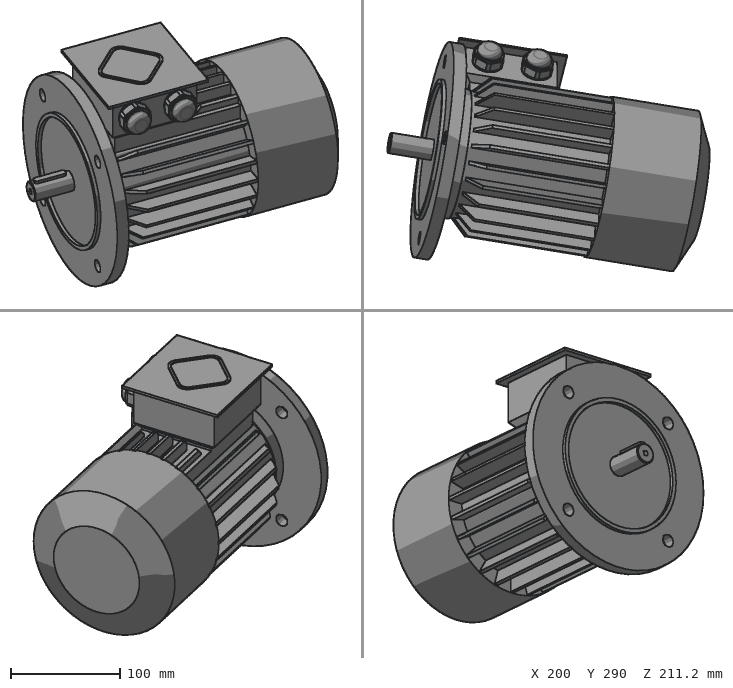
import cadquery as cq
import math


FLANGE_DIA = 200.0
FLANGE_THICKNESS = 12.0
REGISTER_DIA = 130.0
REGISTER_RECESS_DIA = 122.0
REGISTER_HEIGHT = 3.5
BOLT_HOLE_DIA = 12.0
BOLT_CIRCLE_DIA = 165.0

SHAFT_DIA = 19.0
SHAFT_LENGTH = 40.0
SHAFT_CHAMFER = 1.0
CENTRE_HOLE_DIA = 5.0
CENTRE_HOLE_DEPTH = 7.2
KEY_WIDTH = 6.0
KEY_LENGTH = 32.5
KEY_TOP_Z = 12.0
KEY_END_GAP = 3.2

COLLAR_DIA = 120.0
COLLAR_END_Y = 25.0
HOUSING_DIA = 118.0
COWL_DIA = 149.0
COWL_END_DIA = 90.5
COWL_START_Y = 155.2
COWL_CONE_Y = 236.0
OVERALL_LENGTH = 290.0
COWL_END_Y = OVERALL_LENGTH - SHAFT_LENGTH

RIB_TIP_RADIUS = 73.7
RIB_THICKNESS = 3.2
RIB_FRONT_Y = 28.5
RIB_BEVEL_LENGTH = 15.0
RIB_ROOT_DEPTH = 3.0
RIB_PITCH_DEG = 15
RIBS_PER_SIDE = 9
TOP_RIB_FRONT_Y = 113.0
TOP_RIB_CHAMFER = 4.5
TOP_RIBS_PER_SIDE = 2
TOP_RIB_PITCH = 15.0

BOX_CENTRE_Y = 65.5
BOX_SIDE = 85.0
BOX_BOTTOM_Z = 68.2
NECK_SIDE = 75.5
NECK_TOP_Z = 62.5
SADDLE_WIDTH = 73.7
SADDLE_TOP_Z = 60.0
LID_SIDE = 100.5
LID_BOTTOM_Z = 107.3
LID_TOP_Z = 110.0
BADGE_CENTRE_Y = 61.5
BADGE_SIDE = 50.5
BADGE_CORNER_RADIUS = 10.2
BADGE_RIM = 2.5
BADGE_HEIGHT = 1.2

GLAND_SPACING = 45.8
GLAND_Z = 88.2
GLAND_NECK_LENGTH = 1.7
GLAND_HEX_FLATS = 27.3
GLAND_HEX_CORNER_DIA = 29.5
GLAND_HEX_LENGTH = 8.7
GLAND_COLLAR_LENGTH = 2.0
GLAND_CAP_DIA = 23.2
GLAND_CAP_LENGTH = 7.0
GLAND_CAP_ROUND = 5.2

HOUSING_RADIUS = HOUSING_DIA / 2


def y_cylinder(diameter, y_start, y_end):
    """Cylinder around the shaft axis between two Y positions."""
    return cq.Workplane("XZ", origin=(0, y_start, 0)).circle(diameter / 2).extrude(y_start - y_end)


def box_between(x_size, y_start, y_end, z_bottom, z_top):
    """Block centred on X = 0 between the given Y and Z limits."""
    block = cq.Workplane("XY").box(x_size, y_end - y_start, z_top - z_bottom, centered=(True, False, False))
    return block.translate((0, y_start, z_bottom))


def make_flange():
    bolt_side = BOLT_CIRCLE_DIA / math.sqrt(2)
    flange = y_cylinder(FLANGE_DIA, 0, FLANGE_THICKNESS)
    bolt_holes = (
        cq.Workplane("XZ")
        .rect(bolt_side, bolt_side, forConstruction=True)
        .vertices()
        .circle(BOLT_HOLE_DIA / 2)
        .extrude(-FLANGE_THICKNESS)
    )
    register = y_cylinder(REGISTER_DIA, -REGISTER_HEIGHT, 0)
    recess = y_cylinder(REGISTER_RECESS_DIA, -REGISTER_HEIGHT, 0)
    return flange.cut(bolt_holes).union(register.cut(recess))


def make_shaft():
    shaft = y_cylinder(SHAFT_DIA, -SHAFT_LENGTH, 0).faces("<Y").chamfer(SHAFT_CHAMFER)
    centre_hole = y_cylinder(CENTRE_HOLE_DIA, -SHAFT_LENGTH, CENTRE_HOLE_DEPTH - SHAFT_LENGTH)
    key_y = KEY_END_GAP + KEY_LENGTH / 2 - SHAFT_LENGTH
    key = cq.Workplane("XY").center(0, key_y).slot2D(KEY_LENGTH, KEY_WIDTH, 90).extrude(KEY_TOP_Z)
    return shaft.union(key).cut(centre_hole)


def make_housing():
    collar = y_cylinder(COLLAR_DIA, FLANGE_THICKNESS, COLLAR_END_Y)
    barrel = y_cylinder(HOUSING_DIA, COLLAR_END_Y, COWL_START_Y)
    cowl_outline = [
        (0, COWL_START_Y),
        (COWL_DIA / 2, COWL_START_Y),
        (COWL_DIA / 2, COWL_CONE_Y),
        (COWL_END_DIA / 2, COWL_END_Y),
        (0, COWL_END_Y),
    ]
    cowl = cq.Workplane("XY").polyline(cowl_outline).close().revolve(360, (0, 0, 0), (0, 1, 0))
    return collar.union(barrel).union(cowl)


def make_radial_ribs():
    """Ribs all round the barrel except under the terminal box, bevelled at the front."""
    root_radius = HOUSING_RADIUS - RIB_ROOT_DEPTH
    rib_outline = [
        (root_radius, RIB_FRONT_Y),
        (HOUSING_RADIUS, RIB_FRONT_Y),
        (RIB_TIP_RADIUS, RIB_FRONT_Y + RIB_BEVEL_LENGTH),
        (RIB_TIP_RADIUS, COWL_START_Y),
        (root_radius, COWL_START_Y),
    ]
    rib = cq.Workplane("XY").polyline(rib_outline).close().extrude(RIB_THICKNESS / 2, both=True)
    ribs = cq.Workplane("XY")
    for step in range(-RIBS_PER_SIDE, RIBS_PER_SIDE + 1):
        angle_from_x = 90 + step * RIB_PITCH_DEG
        ribs = ribs.add(rib.rotate((0, 0, 0), (0, 1, 0), angle_from_x))
    return ribs.combine()


def make_top_ribs():
    """Upright ribs behind the terminal box, trimmed to the rib tip cylinder and bevelled in front."""
    envelope = y_cylinder(2 * RIB_TIP_RADIUS, TOP_RIB_FRONT_Y, COWL_START_Y)
    envelope = envelope.faces("<Y").chamfer(TOP_RIB_CHAMFER)
    rib_bottom_z = SADDLE_TOP_Z - RIB_ROOT_DEPTH
    rib = box_between(RIB_THICKNESS, TOP_RIB_FRONT_Y, COWL_START_Y, rib_bottom_z, RIB_TIP_RADIUS)
    ribs = cq.Workplane("XY")
    for step in range(-TOP_RIBS_PER_SIDE, TOP_RIBS_PER_SIDE + 1):
        ribs = ribs.add(rib.translate((step * TOP_RIB_PITCH, 0, 0)))
    return ribs.combine().intersect(envelope)


def centred_block(side, z_bottom, z_top):
    """Square block on the terminal box centre line."""
    half = side / 2
    return box_between(side, BOX_CENTRE_Y - half, BOX_CENTRE_Y + half, z_bottom, z_top)


def make_terminal_box():
    neck_front_y = BOX_CENTRE_Y - NECK_SIDE / 2
    saddle = box_between(SADDLE_WIDTH, neck_front_y, COWL_START_Y, 0, SADDLE_TOP_Z)
    neck = box_between(SADDLE_WIDTH, neck_front_y, neck_front_y + NECK_SIDE, 0, NECK_TOP_Z)
    flare = (
        cq.Workplane("XY", origin=(0, BOX_CENTRE_Y, NECK_TOP_Z))
        .rect(SADDLE_WIDTH, NECK_SIDE)
        .workplane(offset=BOX_BOTTOM_Z - NECK_TOP_Z)
        .rect(BOX_SIDE, BOX_SIDE)
        .loft()
    )
    walls = centred_block(BOX_SIDE, BOX_BOTTOM_Z, LID_BOTTOM_Z)
    lid = centred_block(LID_SIDE, LID_BOTTOM_Z, LID_TOP_Z)
    return saddle.union(neck).union(flare).union(walls).union(lid)


def make_badge_rim():
    """Raised diamond-shaped rim with rounded corners on the lid."""
    inner_side = BADGE_SIDE - 2 * BADGE_RIM
    outer = cq.Workplane("XY").rect(BADGE_SIDE, BADGE_SIDE).extrude(BADGE_HEIGHT)
    outer = outer.edges("|Z").fillet(BADGE_CORNER_RADIUS)
    inner = cq.Workplane("XY").rect(inner_side, inner_side).extrude(BADGE_HEIGHT)
    inner = inner.edges("|Z").fillet(BADGE_CORNER_RADIUS - BADGE_RIM)
    rim = outer.cut(inner).rotate((0, 0, 0), (0, 0, 1), 45)
    return rim.translate((0, BADGE_CENTRE_Y, LID_TOP_Z))


def make_gland():
    """Cable gland pointing along +X from X = 0: neck, hexagon, thin collar and domed cap."""
    hex_end = GLAND_NECK_LENGTH + GLAND_HEX_LENGTH
    collar_end = hex_end + GLAND_COLLAR_LENGTH
    hex_corner_to_corner = GLAND_HEX_FLATS / math.cos(math.radians(30))
    collar_radius = GLAND_HEX_FLATS / 2
    neck = cq.Workplane("YZ").circle(collar_radius).extrude(GLAND_NECK_LENGTH)
    hexagon = (
        cq.Workplane("YZ", origin=(GLAND_NECK_LENGTH, 0, 0))
        .transformed(rotate=(0, 0, 90))
        .polygon(6, hex_corner_to_corner)
        .extrude(GLAND_HEX_LENGTH)
    )
    corner_trim = cq.Workplane("YZ").circle(GLAND_HEX_CORNER_DIA / 2).extrude(collar_end)
    collar = cq.Workplane("YZ", origin=(hex_end, 0, 0)).circle(collar_radius).extrude(GLAND_COLLAR_LENGTH)
    cap = cq.Workplane("YZ", origin=(collar_end, 0, 0)).circle(GLAND_CAP_DIA / 2).extrude(GLAND_CAP_LENGTH)
    cap = cap.faces(">X").edges().fillet(GLAND_CAP_ROUND)
    return neck.union(hexagon.intersect(corner_trim)).union(collar).union(cap)


result = make_flange().union(make_shaft()).union(make_housing())
result = result.union(make_radial_ribs()).union(make_top_ribs())
result = result.union(make_terminal_box()).union(make_badge_rim())
for side in (-1, 1):
    gland_y = BOX_CENTRE_Y + side * GLAND_SPACING / 2
    result = result.union(make_gland().translate((BOX_SIDE / 2, gland_y, GLAND_Z)))